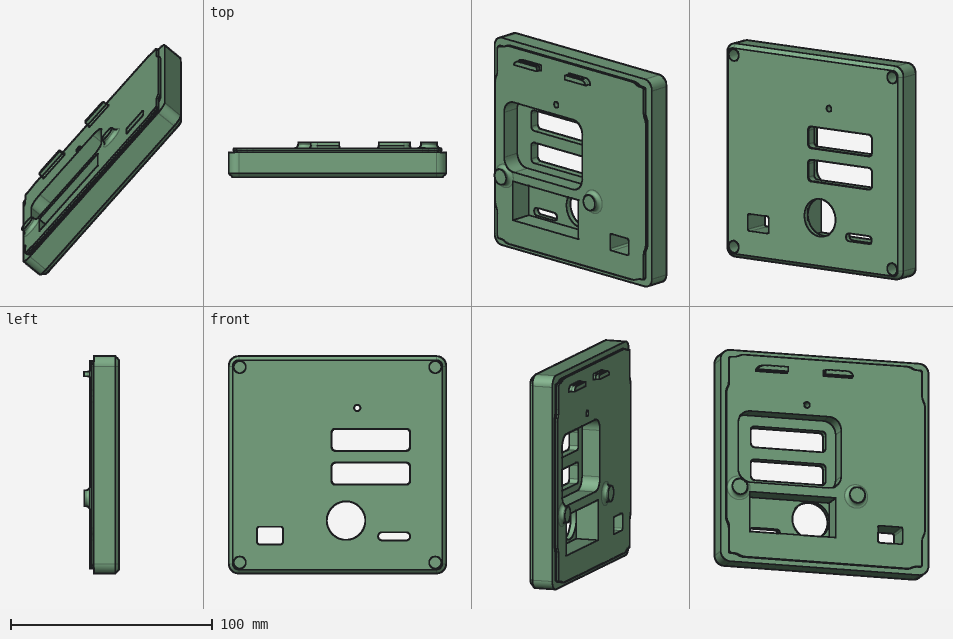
import cadquery as cq
import math

SIDE = 108.0
BODY_DEPTH = 12.5
CORNER_RADIUS = 5.0
FRONT_CHAMFER = 2.0
OVERALL_DEPTH = 17.53

LIP_HEIGHT = 2.0
LIP_INSET = 2.3
CREST_HEIGHT = 1.0
FLARE_ANGLE = 30.0
BACK_TAPER_ANGLE = 8.0
BACK = BODY_DEPTH + LIP_HEIGHT

STEP_DROP = 1.5
STEP_LENGTH = 6.0
STEP_X = 42.0
STEP_Z = 31.3
LIP_CORNER_RADIUS = CORNER_RADIUS - LIP_INSET - STEP_DROP

RECESS_DIAMETER = 6.0
RECESS_DEPTH = 8.0
RECESS_OFFSET = 48.5

DISPLAY_WEB = 5.0
WINDOW_WIDTH = 38.8
WINDOW_HEIGHT = 10.7
WINDOW_RADIUS = 2.0
WINDOW_CHAMFER = 0.25
WINDOW_X = 16.55
WINDOW_ZS = (12.4, -4.4)
DISPLAY_POCKET_X = (-8.0, 45.5)
DISPLAY_POCKET_Z = (-13.4, 23.0)
DISPLAY_POCKET_RADIUS = 6.5

CONTROL_WEB = 3.0
KNOB_DIAMETER = 19.0
KNOB_X = 4.25
KNOB_Z = -27.7
SLOT_LENGTH = 15.8
SLOT_HEIGHT = 4.0
SLOT_X = 28.1
SLOT_Z = -35.5
CONTROL_POCKET_X = (KNOB_X - KNOB_DIAMETER / 2, 39.5)
CONTROL_POCKET_Z = (-38.5, KNOB_Z + KNOB_DIAMETER / 2)

INDICATOR_DIAMETER = 3.0
INDICATOR_X = 9.8
INDICATOR_Z = 28.2
SOCKET_WIDTH = 12.7
SOCKET_HEIGHT = 8.7
SOCKET_RADIUS = 1.0
SOCKET_X = -33.5
SOCKET_Z = -35.1

BOSS_DIAMETER = 8.0
BOSS_HEIGHT = 2.9
BOSS_FOOT_RADIUS = 2.0
BOSS_XS = (-15.6, 45.4)
BOSS_Z = -16.6

LEDGE_TOP = 46.2
LEDGE_THICKNESS = 2.3
LEDGE_ENDS = ((-13.5, 0.9), (36.2, 20.4))
LEDGE_OUTER_RADIUS = 3.4
LEDGE_INNER_RADIUS = 0.4
LEDGE_FOOT_HEIGHT = 1.2
LEDGE_FOOT_FLARE = 0.4

OVERLAP = 1.0


def sketch_plane(y):
    """Plane parallel to the front face; local coordinates are X and Z, extrusion runs to the back."""
    return cq.Plane(origin=(0, y, 0), xDir=(1, 0, 0), normal=(0, -1, 0))


def prism(outline, y_start, y_end):
    """Extrude a drawing function's closed outline between two depths."""
    return outline(cq.Workplane(sketch_plane(y_start))).extrude(y_start - y_end)


def cylinder(diameter, y_start, y_end, x, z):
    return prism(lambda plane: plane.center(x, z).circle(diameter / 2), y_start, y_end)


def block(x_range, z_range, y_start, y_end, radius=0.0):
    """Box spanning the given ranges, with its depth-wise edges rounded."""
    width = x_range[1] - x_range[0]
    height = z_range[1] - z_range[0]
    center = (sum(x_range) / 2, sum(z_range) / 2)
    solid = prism(lambda plane: plane.center(*center).rect(width, height), y_start, y_end)
    if radius:
        solid = solid.edges("|Y").fillet(radius)
    return solid


def centered(middle, length):
    return (middle - length / 2, middle + length / 2)


def make_body():
    half = SIDE / 2
    body = block((-half, half), (-half, half), 0, BODY_DEPTH, CORNER_RADIUS)
    return body.faces("<Y").chamfer(FRONT_CHAMFER)


def step_arcs(start, outer):
    """Five points along one inward step: (distance along the side, distance from the center)."""
    step_angle = 2 * math.atan(STEP_DROP / STEP_LENGTH)
    step_radius = STEP_LENGTH / 2 / math.sin(step_angle)
    run = step_radius * math.sin(step_angle / 2)
    drop = step_radius * (1 - math.cos(step_angle / 2))
    end = start + STEP_LENGTH
    inner = outer - STEP_DROP
    return [
        (start, outer),
        (start + run, outer - drop),
        (start + STEP_LENGTH / 2, outer - STEP_DROP / 2),
        (end - run, inner + drop),
        (end, inner),
    ]


def lip_quarter():
    """Points of the +X, +Z quarter of the lip: step, corner rounding, step."""
    outer = SIDE / 2 - LIP_INSET
    inner = outer - STEP_DROP
    round_start = inner - LIP_CORNER_RADIUS
    round_middle = round_start + LIP_CORNER_RADIUS * math.sqrt(0.5)
    corner = [(round_start, inner), (round_middle, round_middle), (inner, round_start)]
    side_step = [(across, along) for along, across in reversed(step_arcs(STEP_Z, outer))]
    return step_arcs(STEP_X, outer) + corner + side_step


def lip_outline(plane):
    """Closed outline of the lip crest, drawn clockwise one quarter after another."""
    quarter = lip_quarter()
    wire = plane.moveTo(-quarter[0][0], quarter[0][1])
    for sign_x, sign_z in ((1, 1), (1, -1), (-1, -1), (-1, 1)):
        points = [(sign_x * x, sign_z * z) for x, z in quarter]
        if sign_x != sign_z:
            points.reverse()
        wire = wire.lineTo(*points[0])
        wire = wire.threePointArc(*points[1:3]).threePointArc(*points[3:5])
        wire = wire.lineTo(*points[5]).threePointArc(*points[6:8]).lineTo(*points[8])
        wire = wire.threePointArc(*points[9:11]).threePointArc(*points[11:13])
    return wire.close()


def make_lip():
    crest_plane = cq.Workplane(sketch_plane(BODY_DEPTH + CREST_HEIGHT))
    flare = lip_outline(crest_plane).extrude(CREST_HEIGHT, taper=FLARE_ANGLE)
    back = lip_outline(crest_plane).extrude(CREST_HEIGHT - LIP_HEIGHT, taper=BACK_TAPER_ANGLE)
    return flare.union(back)


def make_boss(x):
    """Round post with a concave foot, revolved about its own axis."""
    radius = BOSS_DIAMETER / 2
    foot = BOSS_FOOT_RADIUS
    foot_middle = foot * (1 - math.sqrt(0.5))
    profile = (
        cq.Workplane("XY", origin=(x, 0, BOSS_Z))
        .moveTo(0, BACK - OVERLAP)
        .lineTo(radius + foot, BACK - OVERLAP)
        .lineTo(radius + foot, BACK)
        .threePointArc((radius + foot_middle, BACK + foot_middle), (radius, BACK + foot))
        .lineTo(radius, BACK + BOSS_HEIGHT)
        .lineTo(0, BACK + BOSS_HEIGHT)
        .close()
    )
    return profile.revolve(360, (0, 0, 0), (0, 1, 0))


def ledge_outline(plane, outer_x, inner_x):
    """Bar with both top corners rounded; the outer rounding runs out at the bottom edge."""
    inward = math.copysign(1, inner_x - outer_x)
    bottom = LEDGE_TOP - LEDGE_THICKNESS
    big = LEDGE_OUTER_RADIUS
    small = LEDGE_INNER_RADIUS
    big_center = (outer_x + inward * big, LEDGE_TOP - big)
    small_center = (inner_x - inward * small, LEDGE_TOP - small)
    run_out_angle = math.asin((bottom - big_center[1]) / big)
    big_middle_angle = (run_out_angle + math.pi / 2) / 2

    def on_big_round(angle):
        return (big_center[0] - inward * big * math.cos(angle), big_center[1] + big * math.sin(angle))

    small_offset = small * math.sqrt(0.5)
    small_middle = (small_center[0] + inward * small_offset, small_center[1] + small_offset)
    return (
        plane.moveTo(inner_x, bottom)
        .lineTo(*on_big_round(run_out_angle))
        .threePointArc(on_big_round(big_middle_angle), on_big_round(math.pi / 2))
        .lineTo(small_center[0], LEDGE_TOP)
        .threePointArc(small_middle, (inner_x, small_center[1]))
        .close()
    )


def make_ledge(outer_x, inner_x):
    """Straight bar with a sloped foot that spreads out toward the back face."""
    bar = prism(lambda plane: ledge_outline(plane, outer_x, inner_x), BACK - OVERLAP, OVERALL_DEPTH)
    foot_slope = math.degrees(math.atan(LEDGE_FOOT_FLARE / LEDGE_FOOT_HEIGHT))
    foot_top = cq.Workplane(sketch_plane(BACK + LEDGE_FOOT_HEIGHT))
    foot = ledge_outline(foot_top, outer_x, inner_x).extrude(LEDGE_FOOT_HEIGHT, taper=-foot_slope)
    return bar.union(foot)


def make_window(z):
    """Cutter for one display window with a small bevel at the front face."""
    x_range = centered(WINDOW_X, WINDOW_WIDTH)
    z_range = centered(z, WINDOW_HEIGHT)
    opening = block(x_range, z_range, 0, BACK, WINDOW_RADIUS)
    rim = opening.faces("<Y").wires().toPending().offset2D(WINDOW_CHAMFER)
    bevel = rim.extrude(-WINDOW_CHAMFER, taper=45)
    return opening.union(bevel)


def cut_display_openings(part):
    pocket = block(DISPLAY_POCKET_X, DISPLAY_POCKET_Z, DISPLAY_WEB, BACK + OVERLAP, DISPLAY_POCKET_RADIUS)
    part = part.cut(pocket)
    for z in WINDOW_ZS:
        part = part.cut(make_window(z))
    return part


def cut_control_openings(part):
    pocket = block(CONTROL_POCKET_X, CONTROL_POCKET_Z, CONTROL_WEB, BACK + OVERLAP)
    knob = cylinder(KNOB_DIAMETER, -OVERLAP, BACK, KNOB_X, KNOB_Z)
    slot = prism(
        lambda plane: plane.center(SLOT_X, SLOT_Z).slot2D(SLOT_LENGTH, SLOT_HEIGHT),
        -OVERLAP,
        BACK,
    )
    return part.cut(pocket).cut(knob).cut(slot)


def cut_through_openings(part):
    x_range = centered(SOCKET_X, SOCKET_WIDTH)
    z_range = centered(SOCKET_Z, SOCKET_HEIGHT)
    socket = block(x_range, z_range, -OVERLAP, BACK + OVERLAP, SOCKET_RADIUS)
    indicator = cylinder(INDICATOR_DIAMETER, -OVERLAP, BACK + OVERLAP, INDICATOR_X, INDICATOR_Z)
    return part.cut(socket).cut(indicator)


def cut_corner_recesses(part):
    for x in (-RECESS_OFFSET, RECESS_OFFSET):
        for z in (-RECESS_OFFSET, RECESS_OFFSET):
            part = part.cut(cylinder(RECESS_DIAMETER, -OVERLAP, RECESS_DEPTH, x, z))
    return part


part = make_body().union(make_lip())
for boss_x in BOSS_XS:
    part = part.union(make_boss(boss_x))
for outer_end, inner_end in LEDGE_ENDS:
    part = part.union(make_ledge(outer_end, inner_end))
part = cut_display_openings(part)
part = cut_control_openings(part)
part = cut_through_openings(part)
result = cut_corner_recesses(part)